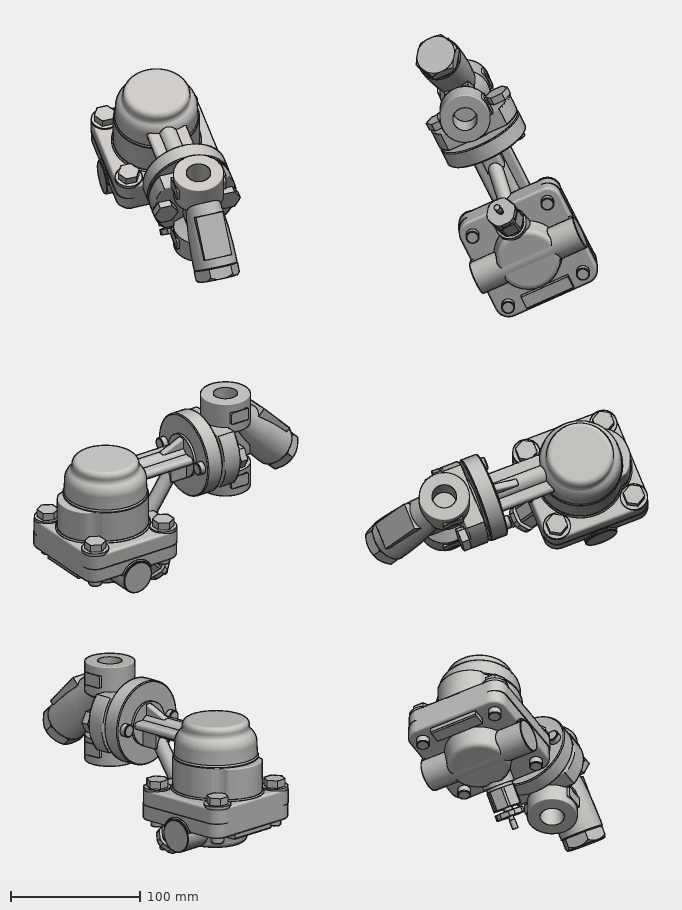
import cadquery as cq
import math

overlap = 1.0

flange_side = 85.4
bolt_pitch = 64.0
corner_radius = (flange_side - bolt_pitch) / 2
body_flange_height = 12.5
cover_flange_height = 12.0
cover_offset_y = 0.5
flange_edge_round = 2.0

bolt_points = [
    (side_x * bolt_pitch / 2, side_y * bolt_pitch / 2)
    for side_x in (-1, 1)
    for side_y in (-1, 1)
]
bolt_seat_diameter = 21.0
bolt_seat_height = 1.2
bolt_hex_flats = 14.6
bolt_head_height = 6.0
bolt_shank_diameter = 10.0
bolt_tip_length = 6.0
bolt_tip_chamfer = 0.6

body_radius = 33.4
body_top = 38.0
bowl_top = 67.7

bowl_foot_radius = 33.0
bowl_foot_rise = 0.6
bowl_wall_radius = 32.3
bowl_wall_taper = 0.5
bowl_wall_start = 40.1
bowl_wall_end = 49.7
bowl_shoulder_middle = (30.8, 54.3)
bowl_shoulder_end = (28.2, 57.8)
bowl_neck_middle = (26.6, 59.6)
crown_radius = 26.0
crown_start = 61.8
crown_end = 63.2
crown_round_middle = (24.8, 66.4)
crown_flat_radius = 22.0

lobe_radius = 25.6
lobe_reach = 39.9
bolt_scallop_radius = 12.4
scallop_edge_round = 5.0
wall_top_round = 0.8
wall_foot_width = 1.4
wall_foot_chamfer = 1.0

cover_bottom = -29.5
cover_bowl_radius = 26.5
cover_bowl_lip = 1.5
cover_bowl_rim_start = (24.7, -25.0)
cover_bowl_rim_middle = (23.5, -28.3)
cover_bowl_flat_radius = 20.5
boss_axis_z = -16.9
boss_radius = 13.0
boss_collar_radius = 14.5
boss_collar_height = 1.0
boss_collar_chamfer = 0.9
boss_length = 89.0
boss_edge = 0.5
cover_pad_half_width = 20.0
cover_pad_height = 4.7
cover_pad_reach = 40.0
cover_pad_depth = 11.0
cover_pad_edge = 1.0

flange_axis_z = 49.0
pipe_flange_radius = 33.4
pipe_flange_start = 73.3
pipe_flange_thickness = 13.8
pipe_flange_edge = 0.8
hub_radius = 17.5
hub_start = 71.2
connector_start = 89.3
connector_end = 103.9
connector_half_height = 22.3
connector_edge_round = 0.8
connector_bolt_y = 25.2
connector_hex_flats = 16.5
connector_head_height = 6.0
connector_bolt_tip = 68.2

arm_diameter = 15.8
wing_half_width = 16.0
wing_thickness = 6.0
wing_z = 50.2
gusset_thickness = 6.0
gusset_start = 52.0
gusset_height = 16.0
gusset_round = 1.5

tube_diameter = 11.6
tube_foot = (34.0, -0.8)
tube_top = (61.0, 38.0)
block_start = 57.0
block_bottom = 31.8
block_half_width = 7.0
block_edge_round = 2.0

valve_x = 112.9
valve_radius = 19.4
valve_bottom = 11.1
valve_height = 80.0
valve_edge_round = 0.6
valve_bore_radius = 9.4
valve_bore_depth = 20.0
shoulder_half_gap = 17.5
waist_half_height = 11.5
waist_half_width = 10.0
waist_end = 129.0
pad_width = 16.0
pad_height = 10.0
pad_corner_radius = 1.5
pad_inset = 6.8
pad_face_y = 19.9

slope = math.sqrt(0.5)
strainer_end = (165.7, 25.5)
strainer_cap_corners = 35.0
strainer_cap_length = 9.0
strainer_collar_edge = 0.8
strainer_cap_chamfer = 2.2
strainer_collar_radius = 17.0
strainer_collar_length = 6.5
strainer_root_radius = 12.8
strainer_length = 62.0
strainer_swell_radius = 15.7
strainer_swell_distance = 40.0
strainer_pad_start = -50.8
strainer_pad_length = 34.0
strainer_pad_width = 21.6
strainer_pad_height = 17.1

blowoff_start = (33.3, -25.0)
blowoff_boss_radius = 12.5
blowoff_boss_depth = 20.0
blowoff_corner_radius = 11.6
blowoff_collar_radius = 10.5
blowoff_collar_length = 2.5
blowoff_hex_flats = 21.0
blowoff_hex_length = 15.6
blowoff_nut_flats = 22.0
blowoff_nut_gap = 3.0
blowoff_nut_thickness = 4.2
blowoff_stem_radius = 3.5
blowoff_neck_radius = 2.0
blowoff_neck_length = 3.0
blowoff_pin_radius = 2.3
blowoff_pin_length = 7.1


def corners_from_flats(flats):
    return flats / math.cos(math.pi / 6)


def sloping_plane(point, distance, x_dir=(0, 1, 0)):
    """Plane across a 45 degree axis, at a distance along it from the given (x, z) point."""
    origin = (point[0] + distance * slope, 0, point[1] - distance * slope)
    return cq.Plane(origin=origin, xDir=x_dir, normal=(slope, 0, -slope))


def x_cylinder(radius, start, end, y=0, z=flange_axis_z):
    return cq.Workplane("YZ", origin=(start, y, z)).circle(radius).extrude(end - start)


def block(x_range, y_range, z_range):
    """Box spanning the given (low, high) ranges."""
    size = [high - low for low, high in (x_range, y_range, z_range)]
    corner = (x_range[0], y_range[0], z_range[0])
    return cq.Workplane("XY", origin=corner).box(*size, centered=False)


def square_flange(bottom, height, offset_y, rounded_face):
    plate = cq.Workplane("XY", origin=(0, offset_y, bottom)).rect(flange_side, flange_side).extrude(height)
    return plate.edges("|Z").fillet(corner_radius).faces(rounded_face).edges().fillet(flange_edge_round)


def bowl():
    """Domed upper bowl with a stepped crown, revolved about Z."""
    profile = (
        cq.Workplane("XZ")
        .moveTo(0, 0)
        .lineTo(bowl_foot_radius, 0)
        .lineTo(bowl_foot_radius, body_top + bowl_foot_rise)
        .lineTo(bowl_wall_radius, bowl_wall_start)
        .lineTo(bowl_wall_radius - bowl_wall_taper, bowl_wall_end)
        .threePointArc(bowl_shoulder_middle, bowl_shoulder_end)
        .threePointArc(bowl_neck_middle, (crown_radius, crown_start))
        .lineTo(crown_radius, crown_end)
        .threePointArc(crown_round_middle, (crown_flat_radius, bowl_top))
        .lineTo(0, bowl_top)
        .close()
    )
    return profile.revolve(360, (0, 0, 0), (0, 1, 0))


def lobed_wall(height, growth):
    """Cylinder with a lobe on the -X side, scalloped around the two nearby bolts and grown outwards."""
    cylinder = cq.Workplane("XY").circle(body_radius + growth).extrude(height)
    lobe = cq.Workplane("XY").center(lobe_radius - lobe_reach, 0).circle(lobe_radius + growth).extrude(height)
    near_bolts = [(x, y) for x, y in bolt_points if x < 0]
    scallops = cq.Workplane("XY").pushPoints(near_bolts).circle(bolt_scallop_radius - growth).extrude(height)
    return cylinder.union(lobe).cut(scallops).edges("|Z").fillet(scallop_edge_round)


def body_wall():
    wall = lobed_wall(body_top, 0).faces(">Z").edges().fillet(wall_top_round)
    foot = lobed_wall(body_flange_height + bolt_seat_height, wall_foot_width)
    return wall.union(foot.faces(">Z").edges().chamfer(wall_foot_chamfer))


def body_bolts():
    seat_top = body_flange_height + bolt_seat_height
    seats = (
        cq.Workplane("XY").pushPoints(bolt_points).circle(bolt_seat_diameter / 2).extrude(seat_top)
    )
    heads = (
        cq.Workplane(cq.Plane(origin=(0, 0, seat_top), xDir=(0, 1, 0), normal=(0, 0, 1)))
        .pushPoints(bolt_points)
        .polygon(6, corners_from_flats(bolt_hex_flats))
        .extrude(bolt_head_height)
    )
    tip_end = -cover_flange_height - bolt_tip_length
    tips = (
        cq.Workplane("XY", origin=(0, 0, tip_end))
        .pushPoints(bolt_points)
        .circle(bolt_shank_diameter / 2)
        .extrude(-tip_end)
        .faces("<Z")
        .chamfer(bolt_tip_chamfer)
    )
    return seats.union(heads).union(tips)


def cover_bowl():
    """Shallow tapered bowl below the cover flange, with a rounded bottom rim."""
    profile = (
        cq.Workplane("XZ", origin=(0, cover_offset_y, 0))
        .moveTo(0, -overlap)
        .lineTo(cover_bowl_radius, -overlap)
        .lineTo(cover_bowl_radius, -cover_flange_height - cover_bowl_lip)
        .lineTo(*cover_bowl_rim_start)
        .threePointArc(cover_bowl_rim_middle, (cover_bowl_flat_radius, cover_bottom))
        .lineTo(0, cover_bottom)
        .close()
    )
    return profile.revolve(360, (0, 0, 0), (0, 1, 0))


def cover_bosses():
    boss = (
        cq.Workplane("XZ", origin=(0, cover_offset_y, boss_axis_z))
        .circle(boss_radius)
        .extrude(boss_length / 2, both=True)
        .faces("<Y or >Y")
        .chamfer(boss_edge)
    )
    collar = (
        cq.Workplane("XZ", origin=(0, cover_offset_y, boss_axis_z))
        .circle(boss_collar_radius)
        .extrude(flange_side / 2 + boss_collar_height, both=True)
        .faces("<Y or >Y")
        .chamfer(boss_collar_chamfer)
    )
    flange_layer = block(
        (-boss_collar_radius, boss_collar_radius),
        (-boss_length, boss_length),
        (-cover_flange_height, 0),
    )
    return boss.union(collar.intersect(flange_layer))


def cover_side_pad():
    pad = block(
        (-cover_pad_reach, cover_pad_depth - cover_pad_reach),
        (cover_offset_y - cover_pad_half_width, cover_offset_y + cover_pad_half_width),
        (-cover_flange_height - cover_pad_height, -overlap),
    )
    return pad.faces("<X").edges("<Z").chamfer(cover_pad_edge)


def blowoff_valve():
    """Boss, collar, hexagon, nut and pin stacked along the sloping axis."""
    def at(distance):
        return cq.Workplane(sloping_plane(blowoff_start, distance))

    def rounded_hexagon(distance, flats, length):
        hexagon = at(distance).polygon(6, corners_from_flats(flats)).extrude(length)
        return hexagon.intersect(at(distance).circle(blowoff_corner_radius).extrude(length))

    boss = at(-blowoff_collar_length).circle(blowoff_boss_radius).extrude(-blowoff_boss_depth)
    below_joint = block((0, flange_side), (-flange_side, flange_side), (-flange_side, -overlap))
    boss = boss.intersect(below_joint)
    collar = at(0).circle(blowoff_collar_radius).extrude(-blowoff_collar_length)
    nut_start = blowoff_hex_length + blowoff_nut_gap
    nut_end = nut_start + blowoff_nut_thickness
    pin_start = nut_end + blowoff_neck_length
    stages = (
        boss.union(collar)
        .union(rounded_hexagon(0, blowoff_hex_flats, blowoff_hex_length))
        .union(at(0).circle(blowoff_stem_radius).extrude(nut_end))
        .union(rounded_hexagon(nut_start, blowoff_nut_flats, blowoff_nut_thickness))
        .union(at(nut_start).circle(blowoff_neck_radius).extrude(pin_start - nut_start))
        .union(at(pin_start).circle(blowoff_pin_radius).extrude(blowoff_pin_length))
    )
    return stages.translate((0, cover_offset_y, 0))


def arm():
    """Round tube with a flat wing on each side, running from the bowl to the flange hub."""
    tube = x_cylinder(arm_diameter / 2, 0, pipe_flange_start)
    wing = (
        cq.Workplane("YZ", origin=(0, 0, wing_z))
        .slot2D(2 * wing_half_width, wing_thickness)
        .extrude(hub_start)
    )
    return tube.union(wing)


def gusset():
    """Triangular rib standing on the arm against the flange hub."""
    rib = (
        cq.Workplane("XZ", origin=(0, gusset_thickness / 2, flange_axis_z))
        .moveTo(gusset_start, 0)
        .lineTo(gusset_start, arm_diameter / 2)
        .lineTo(hub_start, gusset_height)
        .lineTo(pipe_flange_start, gusset_height)
        .lineTo(pipe_flange_start, 0)
        .close()
        .extrude(gusset_thickness)
    )
    return rib.edges("not (|X or |Y or |Z)").fillet(gusset_round)


def return_passage():
    run = tube_top[0] - tube_foot[0]
    rise = tube_top[1] - tube_foot[1]
    foot_plane = cq.Plane(origin=(tube_foot[0], 0, tube_foot[1]), xDir=(0, 1, 0), normal=(run, 0, rise))
    tube = cq.Workplane(foot_plane).circle(tube_diameter / 2).extrude(math.hypot(run, rise))
    housing = block(
        (block_start, pipe_flange_start),
        (-block_half_width, block_half_width),
        (block_bottom, flange_axis_z),
    )
    housing = housing.faces("<Z").edges("not >X").fillet(block_edge_round)
    return tube.union(housing)


def pipe_flange():
    disc = x_cylinder(pipe_flange_radius, pipe_flange_start, pipe_flange_start + pipe_flange_thickness)
    hub = x_cylinder(hub_radius, hub_start, connector_start)
    return disc.edges().chamfer(pipe_flange_edge).union(hub)


def connector():
    """Disc cut flat above and below, facing the pipe flange across a narrow gap."""
    plate = x_cylinder(pipe_flange_radius, connector_start, connector_end)
    trim = block(
        (connector_start, connector_end),
        (-pipe_flange_radius, pipe_flange_radius),
        (flange_axis_z - connector_half_height, flange_axis_z + connector_half_height),
    )
    return plate.intersect(trim).faces("<X or >X").edges().fillet(connector_edge_round)


def connector_bolt(side):
    y = side * connector_bolt_y
    shank = x_cylinder(bolt_shank_diameter / 2, connector_bolt_tip, connector_end, y)
    shank = shank.faces("<X").chamfer(bolt_tip_chamfer)
    head = (
        cq.Workplane("YZ", origin=(connector_end, y, flange_axis_z))
        .polygon(6, corners_from_flats(connector_hex_flats))
        .extrude(connector_head_height)
    )
    return shank.union(head)


def valve_barrel():
    """Two round ends joined by a narrower waist, as one revolved outline."""
    outline = (
        cq.Workplane("XZ", origin=(valve_x, 0, 0))
        .moveTo(0, valve_bottom)
        .lineTo(valve_radius, valve_bottom)
        .lineTo(valve_radius, flange_axis_z - shoulder_half_gap)
        .lineTo(waist_half_width, flange_axis_z - waist_half_height)
        .lineTo(waist_half_width, flange_axis_z + waist_half_height)
        .lineTo(valve_radius, flange_axis_z + shoulder_half_gap)
        .lineTo(valve_radius, valve_bottom + valve_height)
        .lineTo(0, valve_bottom + valve_height)
        .close()
    )
    barrel = outline.revolve(360, (0, 0, 0), (0, 1, 0))
    return barrel.faces("<Z or >Z").edges().fillet(valve_edge_round)


def valve_waist():
    """Flat-sided block between the barrel and the connector plate."""
    return block(
        (connector_end - overlap, waist_end),
        (-waist_half_width, waist_half_width),
        (flange_axis_z - waist_half_height, flange_axis_z + waist_half_height),
    )


def valve_pads():
    """Rounded rectangular raised pads, one on each side of each barrel end."""
    middle = valve_bottom + valve_height / 2
    offset = valve_height / 2 - pad_inset - pad_height / 2
    return (
        cq.Workplane("XZ", origin=(valve_x, 0, middle))
        .pushPoints([(0, -offset), (0, offset)])
        .rect(pad_width, pad_height)
        .extrude(pad_face_y, both=True)
        .edges("|Y")
        .fillet(pad_corner_radius)
    )


def valve_bores():
    top = valve_bottom + valve_height
    upper = cq.Workplane("XY", origin=(valve_x, 0, top)).circle(valve_bore_radius).extrude(-valve_bore_depth)
    lower = cq.Workplane("XY", origin=(valve_x, 0, valve_bottom)).circle(valve_bore_radius)
    return upper.union(lower.extrude(valve_bore_depth))


def strainer():
    """Swelling branch with a collar, a hexagonal cap and a flat pad on its upper side."""
    end_plane = sloping_plane(strainer_end, 0)
    swell = (strainer_swell_radius, -strainer_swell_distance)
    cap_start = -strainer_cap_length
    collar_start = cap_start - strainer_collar_length
    outline = (
        cq.Workplane(end_plane)
        .transformed(rotate=(90, 0, 0))
        .moveTo(0, -strainer_length)
        .lineTo(strainer_root_radius, -strainer_length)
        .threePointArc(swell, (strainer_collar_radius, collar_start))
        .lineTo(strainer_collar_radius, cap_start - strainer_collar_edge)
        .lineTo(strainer_collar_radius - strainer_collar_edge, cap_start)
        .lineTo(0, cap_start)
        .close()
    )
    branch = outline.revolve(360, (0, 0, 0), (0, 1, 0))
    cap_base = cq.Workplane(sloping_plane(strainer_end, cap_start))
    hexagon = cap_base.polygon(6, strainer_cap_corners).extrude(strainer_cap_length)
    blank = cap_base.circle(strainer_cap_corners / 2).extrude(strainer_cap_length)
    cap = hexagon.intersect(blank.edges(">X").chamfer(strainer_cap_chamfer))
    pad = (
        cq.Workplane(sloping_plane(strainer_end, strainer_pad_start, (slope, 0, slope)))
        .center(strainer_pad_height / 2, 0)
        .rect(strainer_pad_height, strainer_pad_width)
        .extrude(strainer_pad_length)
    )
    return branch.union(cap).union(pad)


result = (
    square_flange(0, body_flange_height, 0, ">Z")
    .union(square_flange(-cover_flange_height, cover_flange_height, cover_offset_y, "<Z"))
    .union(bowl())
    .union(body_wall())
    .union(body_bolts())
    .union(cover_bowl())
    .union(cover_bosses())
    .union(cover_side_pad())
    .union(blowoff_valve())
    .union(arm())
    .union(gusset())
    .union(return_passage())
    .union(pipe_flange())
    .union(connector())
    .union(connector_bolt(-1))
    .union(connector_bolt(1))
    .union(valve_barrel())
    .union(valve_waist())
    .union(strainer())
    .union(valve_pads())
    .cut(valve_bores())
)